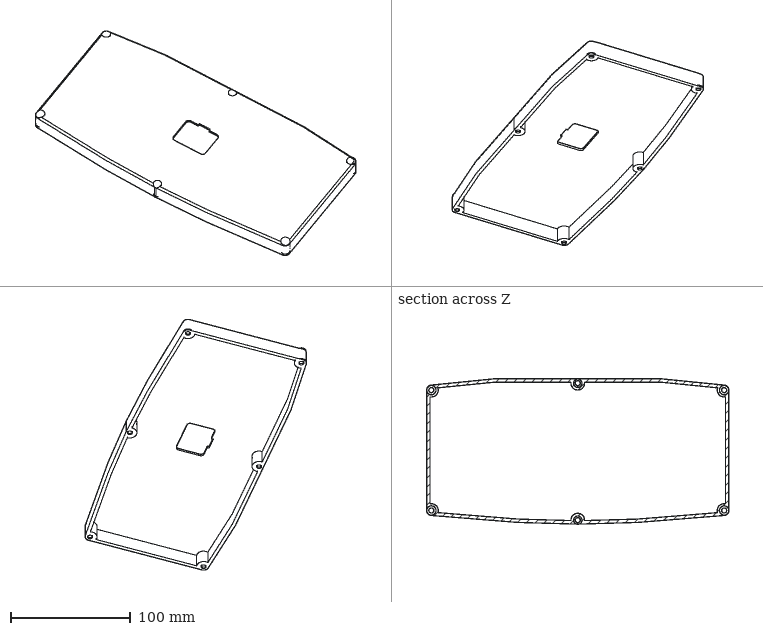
import cadquery as cq
import math

length = 253.0
depth = 122.0
height = 15.0
edge_chamfer = 1.8
wall = 3.0
plate = 2.0

corner_radius = 4.3
corner_x = length / 2 - corner_radius
screw_x = 122.5
corner_back_y = 51.4
corner_front_y = -49.3
hole_diameter = 4.0
corner_bore_diameter = 7.5
middle_bore_diameter = 6.8
post_diameter = 11.6
middle_back_y = 57.2
middle_front_y = -57.5
seat_thickness = 1.5

back_y = depth / 2
back_bend_x = 69.3
front_bend_x = 49.8
front_bend_y = -59.5
rib_bulge = 0.13
rib_diameter = 2.5
rib_y = (rib_diameter - depth) / 2
front_middle_y = rib_bulge - depth / 2

window_width = 32.0
window_front_y = -11.5
window_back_y = 13.2
window_radius = 2.8
notch_width = 10.5
notch_back_y = 14.7


def tangent_point(center_y, bend_x, bend_y):
    """Point where the line from a right-hand bend touches the corner circle."""
    dx = bend_x - corner_x
    dy = bend_y - center_y
    spread = math.acos(corner_radius / math.hypot(dx, dy))
    turn = -spread if center_y > 0 else spread
    angle = math.atan2(dy, dx) + turn
    return (corner_x + corner_radius * math.cos(angle),
            center_y + corner_radius * math.sin(angle))


def corner_arc_middle(center_y, tangent):
    """Middle of the arc between the straight end wall and a tangent point."""
    angle = math.atan2(tangent[1] - center_y, tangent[0] - corner_x) / 2
    return (corner_x + corner_radius * math.cos(angle),
            center_y + corner_radius * math.sin(angle))


def mirrored(point):
    return (-point[0], point[1])


def make_outline():
    front_tangent = tangent_point(corner_front_y, front_bend_x, front_bend_y)
    back_tangent = tangent_point(corner_back_y, back_bend_x, back_y)
    front_arc = corner_arc_middle(corner_front_y, front_tangent)
    back_arc = corner_arc_middle(corner_back_y, back_tangent)
    return (
        cq.Workplane("XY")
        .moveTo(0, front_middle_y)
        .lineTo(front_bend_x, front_bend_y)
        .lineTo(*front_tangent)
        .threePointArc(front_arc, (length / 2, corner_front_y))
        .lineTo(length / 2, corner_back_y)
        .threePointArc(back_arc, back_tangent)
        .lineTo(back_bend_x, back_y)
        .lineTo(-back_bend_x, back_y)
        .lineTo(*mirrored(back_tangent))
        .threePointArc(mirrored(back_arc), (-length / 2, corner_back_y))
        .lineTo(-length / 2, corner_front_y)
        .threePointArc(mirrored(front_arc), mirrored(front_tangent))
        .lineTo(-front_bend_x, front_bend_y)
        .close()
    )


def make_cylinders(points, diameter, bottom, top):
    return (
        cq.Workplane("XY", origin=(0, 0, bottom))
        .pushPoints(points)
        .circle(diameter / 2)
        .extrude(top - bottom)
    )


def make_window():
    window_depth = window_back_y - window_front_y
    opening = (
        cq.Workplane("XY")
        .center(0, (window_front_y + window_back_y) / 2)
        .rect(window_width, window_depth)
        .extrude(height)
        .edges("|Z")
        .fillet(window_radius)
    )
    notch = (
        cq.Workplane("XY")
        .center(0, notch_back_y / 2)
        .rect(notch_width, notch_back_y)
        .extrude(height)
    )
    return opening.union(notch)


corner_points = [(x, y) for x in (-screw_x, screw_x) for y in (corner_front_y, corner_back_y)]
middle_points = [(0, middle_front_y), (0, middle_back_y)]

bevel_bottom = height - edge_chamfer
block = make_outline().extrude(height).faces(">Z").edges().chamfer(edge_chamfer)
block = block.union(make_cylinders([(0, rib_y)], rib_diameter, 0, bevel_bottom))

cavity = make_outline().offset2D(-wall).extrude(height - plate)
cavity = cavity.cut(make_cylinders(corner_points + middle_points, post_diameter, 0, height))
result = block.cut(cavity)

result = result.cut(make_cylinders(corner_points, corner_bore_diameter, seat_thickness, height))
result = result.cut(make_cylinders(middle_points, middle_bore_diameter, seat_thickness, height))
result = result.cut(make_cylinders(corner_points + middle_points, hole_diameter, 0, height))
result = result.cut(make_window())